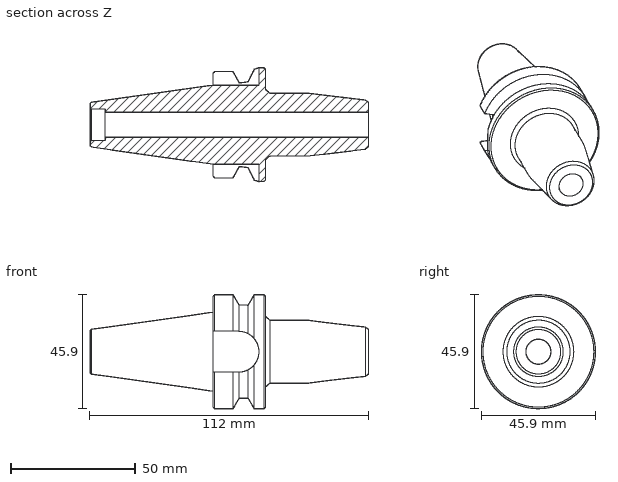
import cadquery as cq

length = 112.0
taper_end = 48.4
flange_start = 49.4
groove_start = 57.5
groove_floor_start = 59.9
groove_floor_end = 63.5
groove_end = 66.0
flange_end = 70.6
neck_start = 72.2
nose_start = 87.6

taper_small_radius = 9.1
taper_large_radius = 31.7 / 2
flange_radius = 45.9 / 2
groove_radius = 18.8
flare_radius = 14.2
neck_radius = 25.4 / 2
nose_end_radius = 10.0

taper_chamfer = 0.5
flange_chamfer = 0.7
nose_chamfer_length = 1.3
nose_chamfer_depth = 1.0

slot_width = 16.5
slot_end = 67.9
slot_floor = 15.9

bore_radius = 10.0 / 2
counterbore_radius = 12.5 / 2
counterbore_depth = 6.0
mouth_radius = 6.7


def make_body():
    """Turned outer shape, revolved about X."""
    profile = [
        (0, 0),
        (0, taper_small_radius - taper_chamfer),
        (taper_chamfer, taper_small_radius),
        (taper_end, taper_large_radius),
        (flange_start, taper_large_radius),
        (flange_start, flange_radius - flange_chamfer),
        (flange_start + flange_chamfer, flange_radius),
        (groove_start, flange_radius),
        (groove_floor_start, groove_radius),
        (groove_floor_end, groove_radius),
        (groove_end, flange_radius),
        (flange_end - flange_chamfer, flange_radius),
        (flange_end, flange_radius - flange_chamfer),
        (flange_end, flare_radius),
        (neck_start, neck_radius),
        (nose_start, neck_radius),
        (length - nose_chamfer_length, nose_end_radius),
        (length, nose_end_radius - nose_chamfer_depth),
        (length, 0),
    ]
    return cq.Workplane("XY").polyline(profile).close().revolve(360, (0, 0, 0), (1, 0, 0))


def make_bore():
    """Stepped bore with a countersunk mouth, revolved about X."""
    profile = [
        (0, 0),
        (0, mouth_radius),
        (mouth_radius - counterbore_radius, counterbore_radius),
        (counterbore_depth, counterbore_radius),
        (counterbore_depth, bore_radius),
        (length, bore_radius),
        (length, 0),
    ]
    return cq.Workplane("XY").polyline(profile).close().revolve(360, (0, 0, 0), (1, 0, 0))


def make_slot(side):
    """Round-ended drive slot cutter; side is -1 for -Y and +1 for +Y."""
    arc_center = slot_end - slot_width / 2
    return (
        cq.Workplane("XZ", origin=(0, side * slot_floor, 0))
        .moveTo(flange_start, -slot_width / 2)
        .lineTo(arc_center, -slot_width / 2)
        .threePointArc((slot_end, 0), (arc_center, slot_width / 2))
        .lineTo(flange_start, slot_width / 2)
        .close()
        .extrude(-side * flange_radius)
    )


result = make_body().cut(make_bore())
for side in (-1, 1):
    result = result.cut(make_slot(side))